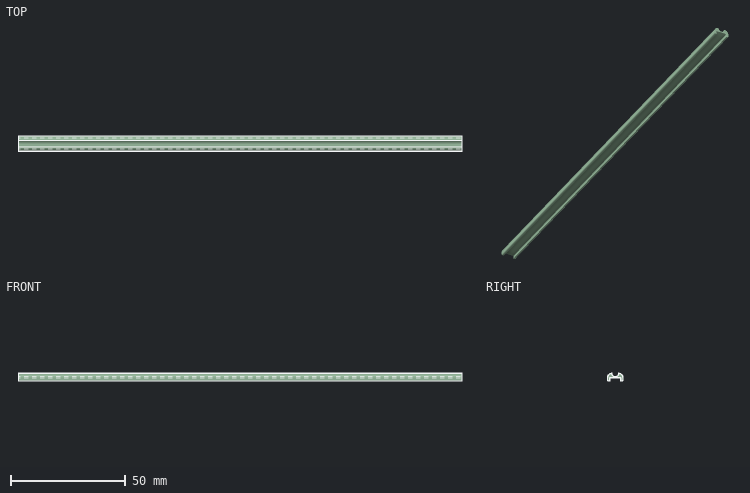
import cadquery as cq
import math

length = 194.0
width = 6.8
height = 3.5
valley_radius = 1.5
lobe_radius = 2.0
web_thickness = 0.5
leg_thickness = 1.0
foot_radius = 0.5

half_width = width / 2
crest_y = valley_radius
lobe_centre_y = half_width - lobe_radius
lobe_centre_z = height - math.sqrt(lobe_radius**2 - (crest_y - lobe_centre_y) ** 2)
valley_floor_z = height - valley_radius
underside_z = valley_floor_z - web_thickness
leg_inner_y = half_width - leg_thickness
foot_centre_y = half_width - foot_radius


def point_at_45(centre_y, centre_z, radius, z_side):
    """Point on an arc 45 degrees out toward +Y, above (z_side 1) or below (z_side -1) its centre."""
    offset = radius * math.sqrt(0.5)
    return (centre_y + offset, centre_z + z_side * offset)


def half_profile():
    """+Y half of the section, closed along the mid-plane."""
    valley_mid = point_at_45(0, height, valley_radius, -1)
    lobe_mid = point_at_45(lobe_centre_y, lobe_centre_z, lobe_radius, 1)
    foot_mid = point_at_45(foot_centre_y, foot_radius, foot_radius, -1)
    return (
        cq.Workplane("YZ")
        .moveTo(0, valley_floor_z)
        .threePointArc(valley_mid, (crest_y, height))
        .threePointArc(lobe_mid, (half_width, lobe_centre_z))
        .lineTo(half_width, foot_radius)
        .threePointArc(foot_mid, (foot_centre_y, 0))
        .lineTo(leg_inner_y, 0)
        .lineTo(leg_inner_y, underside_z)
        .lineTo(0, underside_z)
        .close()
    )


half_strip = half_profile().extrude(length / 2, both=True)
result = half_strip.union(half_strip.mirror("XZ")).clean().solids()